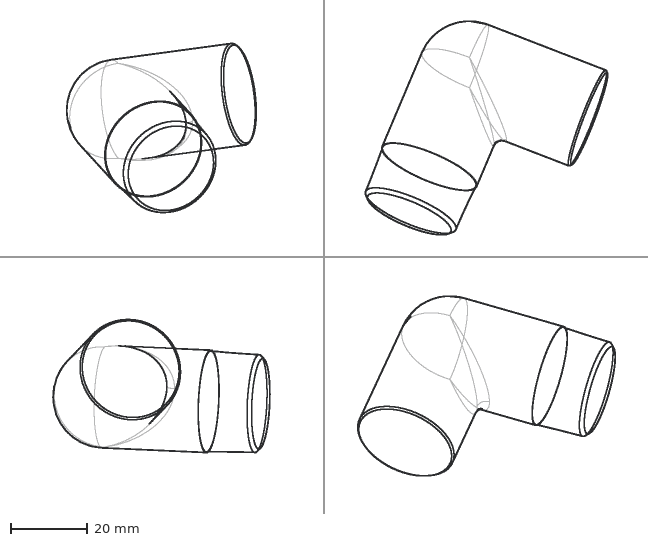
import cadquery as cq

body_diameter = 27.0
body_radius = body_diameter / 2
plain_end_y = 34.0
spigot_end_x = 42.0

plain_end_chamfer = 0.5

spigot_length = 14.0
spigot_base_x = spigot_end_x - spigot_length
taper_ratio = 1 / 16
spigot_base_diameter = 26.6
tip_chamfer = 1.0

inner_fillet_radius = 2.5


def plain_arm():
    """Round arm along +Y, chamfered at its end face."""
    arm = cq.Workplane("XZ").circle(body_radius).extrude(-plain_end_y)
    return arm.faces(">Y").chamfer(plain_end_chamfer)


def spigot_arm_cylinder():
    """Full-diameter part of the arm along +X."""
    return cq.Workplane("YZ").circle(body_radius).extrude(spigot_base_x)


def tapered_spigot():
    """Spigot that narrows towards a chamfered tip."""
    chamfer_x = spigot_end_x - tip_chamfer
    base_radius = spigot_base_diameter / 2
    chamfer_radius = base_radius - (chamfer_x - spigot_base_x) * taper_ratio / 2
    profile = (
        cq.Workplane("XY")
        .moveTo(spigot_base_x, 0)
        .lineTo(spigot_base_x, base_radius)
        .lineTo(chamfer_x, chamfer_radius)
        .lineTo(spigot_end_x, chamfer_radius - tip_chamfer)
        .lineTo(spigot_end_x, 0)
        .close()
    )
    return profile.revolve(360, (0, 0, 0), (1, 0, 0))


def elbow_body():
    """Both arms joined by a ball at the outer corner, with the seam inside the bend rounded."""
    corner_ball = cq.Workplane("XY").sphere(body_radius)
    body = plain_arm().union(spigot_arm_cylinder()).union(corner_ball)
    return body.edges("%ELLIPSE").fillet(inner_fillet_radius)


result = elbow_body().union(tapered_spigot())